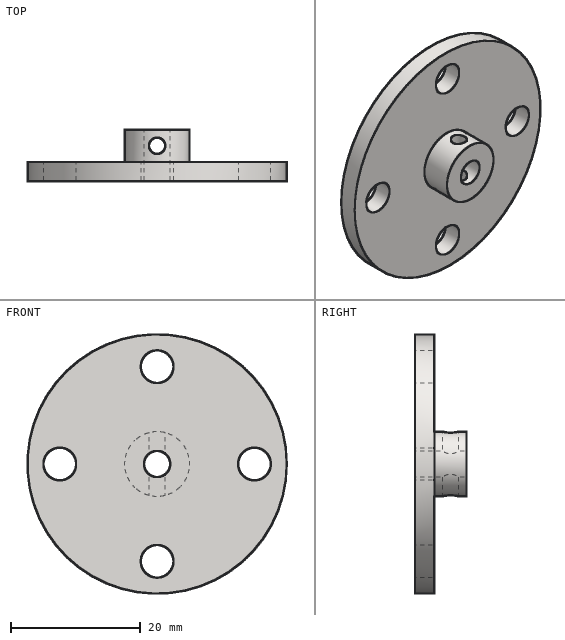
import cadquery as cq

flange_diameter = 40
flange_thickness = 3.0

hub_diameter = 10
hub_length = 5.0

bore_diameter = 4
mounting_hole_diameter = 5.0
mounting_hole_count = 4
mounting_circle_radius = 15.0
cross_hole_diameter = 2.5

total_length = flange_thickness + hub_length
cross_hole_y = flange_thickness + hub_length / 2


def cylinder_along_y(diameter, length, start_y=0):
    """Cylinder about the part axis, growing toward +Y from start_y."""
    base = cq.Workplane("XZ", origin=(0, start_y, 0))
    return base.circle(diameter / 2).extrude(-length)


def mounting_holes():
    """Cutters for the evenly spaced through holes in the flange."""
    return (
        cq.Workplane("XZ")
        .polarArray(mounting_circle_radius, 0, 360, mounting_hole_count)
        .circle(mounting_hole_diameter / 2)
        .extrude(-flange_thickness)
    )


def cross_hole():
    """Cutter along Z that passes through both walls of the hub."""
    return (
        cq.Workplane("XY", origin=(0, cross_hole_y, 0))
        .circle(cross_hole_diameter / 2)
        .extrude(hub_diameter / 2, both=True)
    )


flange = cylinder_along_y(flange_diameter, flange_thickness)
hub = cylinder_along_y(hub_diameter, hub_length, flange_thickness)
bore = cylinder_along_y(bore_diameter, total_length)

result = flange.union(hub).cut(bore).cut(mounting_holes()).cut(cross_hole())